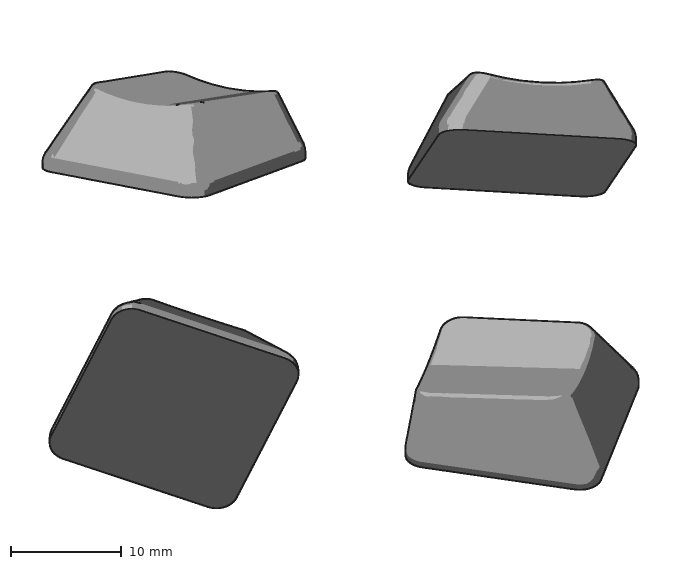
import cadquery as cq
import math

base_width = 18.16
skirt_height = 0.62
base_corner_radius = 2.0

shoulder_top_height = 1.3
shoulder_side_inset = 0.16
shoulder_front_inset = 0.18
shoulder_back_inset = 0.04

top_width = 11.4
top_depth = 13.8
top_center_y = 1.8
top_center_height = 7.4
top_corner_radius = 1.82

dish_radius = 22.7
dish_tilt = 7.5
dish_bottom_height = 6.23
dish_length = 54.48
top_edge_radius = 0.45


def rounded_rectangle(width, depth, corner_radius, location):
    """Closed outline with four rounded corners, placed at the given location."""
    return cq.Sketch().rect(width, depth).vertices().fillet(corner_radius).moved(location)


def shoulder_outline(fraction):
    """Outline at a fraction of the shoulder height; the inset grows as its square."""
    growth = fraction**2
    width = base_width - 2 * shoulder_side_inset * growth
    depth = base_width - (shoulder_front_inset + shoulder_back_inset) * growth
    center_y = (shoulder_front_inset - shoulder_back_inset) * growth / 2
    height = skirt_height + fraction * (shoulder_top_height - skirt_height)
    location = cq.Location(cq.Vector(0, center_y, height))
    return rounded_rectangle(width, depth, base_corner_radius, location)


def make_skirt():
    outline = rounded_rectangle(base_width, base_width, base_corner_radius, cq.Location())
    return cq.Workplane("XY").placeSketch(outline).extrude(skirt_height)


def make_shoulder():
    outlines = [shoulder_outline(fraction) for fraction in (0, 0.5, 1)]
    return cq.Workplane("XY").placeSketch(*outlines).loft()


def make_tapered_body():
    top_place = cq.Location(
        cq.Vector(0, top_center_y, top_center_height), cq.Vector(1, 0, 0), -dish_tilt
    )
    top_outline = rounded_rectangle(top_width, top_depth, top_corner_radius, top_place)
    return cq.Workplane("XY").placeSketch(shoulder_outline(1), top_outline).loft(ruled=True)


def make_dish():
    """Tilted cylinder whose lowest line passes over the part centre."""
    axis_height = dish_bottom_height + dish_radius / math.cos(math.radians(dish_tilt))
    return (
        cq.Workplane("XZ")
        .circle(dish_radius)
        .extrude(dish_length / 2, both=True)
        .rotate((0, 0, 0), (1, 0, 0), -dish_tilt)
        .translate((0, 0, axis_height))
    )


body = make_skirt().union(make_shoulder()).union(make_tapered_body())
body = body.cut(make_dish())

dish_face = cq.selectors.NearestToPointSelector((0, 0, dish_bottom_height))
result = body.faces(dish_face).edges().fillet(top_edge_radius)